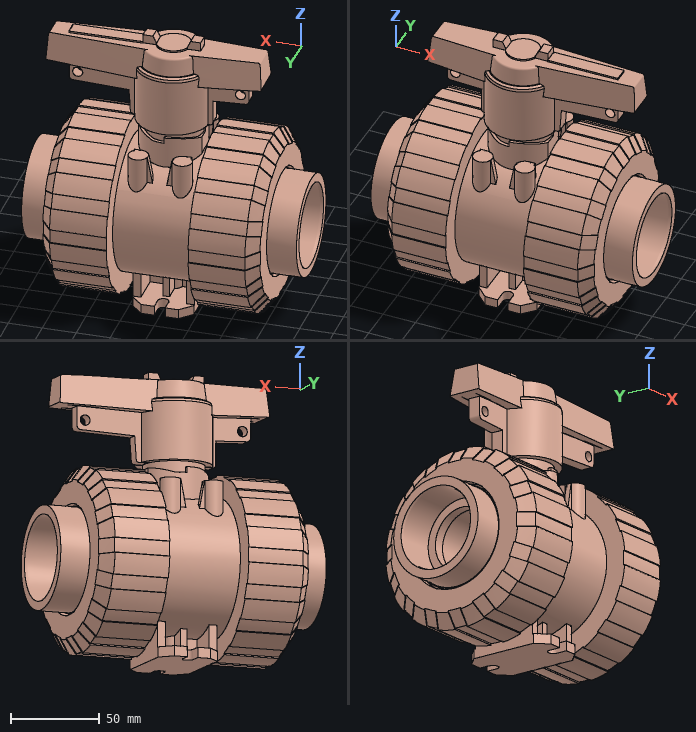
import cadquery as cq


bore_radius = 19.1
body_radius = 41.0
body_half_length = 50.0

neck_radius = 17.7
neck_top_z = 72.9
collar_radius = 19.9
collar_half_width = 18.6
collar_top_z = 54.6
stop_recess_z = 51.2
stop_ramp_end = 6.9
stop_ramp_start = 18.4
stop_count = 4

post_radius = 5.8
post_x = 13.0
post_y = 27.0
post_top_z = 45.4
gusset_foot_z = 29.0
long_gusset_width = 3.3
long_gusset_reach = post_radius + 3.1
short_gusset_width = 2.8
short_gusset_reach = post_radius + 1.5
short_gusset_offset = 2.5

foot_bottom_z = -56.5
foot_thickness = 5.9
foot_half_x = 18.1
foot_half_y = 28.4
foot_corner = 7.1
foot_slot_radius = 3.2
foot_slot_center_y = 21.5
rib_thickness = 4.7
rib_half_y = 20.4
center_rib_thickness = 4.0
center_rib_half_y = 15.4
foot_boss_radius = 6.1

nut_radius = 54.0
nut_inner_x = 24.1
nut_chamfer_x = 57.5
nut_outer_x = 63.9
nut_end_radius = 45.4
nut_lip_thickness = 6.0
nut_hole_radius = 31.8
groove_count = 16
groove_width = 8.6
groove_floor_radius = 53.1
groove_end_floor_radius = 44.5

connector_end_x = 81.0
spigot_radius = 30.1
spigot_root_radius = 30.6
spigot_root_x = 62.0
socket_radius = 24.3
socket_depth = 24.4
socket_chamfer_height = 0.5
socket_chamfer_length = 1.8

hub_radius = 22.1
hub_bottom_z = 58.1
hub_shoulder_z = 91.9
hub_bevel_radius = 21.6
hub_bevel_z = 93.4
hub_step_radius = 20.0
hub_step_z = 94.3
hub_cone_base_radius = 19.3
hub_cone_top_radius = 17.8
hub_top_round = 1.6
handle_top_z = 105.1
slot_half_width = 5.0
slot_top_z = 88.0
cap_radius = 10.1
cap_top_z = 106.1

lever_tip_z = 88.2
lever_root_z = 86.5
lever_root_x = 17.0
lever_top_round = 1.5
lever_bottom_round = 0.9
lever_bottom = dict(left_x=-54.7, left_half=10.7, right_x=73.0, right_half=9.2, root_x=17.0, root_half=12.9)
lever_top = dict(left_x=-53.2, left_half=8.1, right_x=71.8, right_half=7.0, root_x=13.0, root_half=10.8)

web_half_thickness = 3.9
web_left_x = -45.4
web_right_x = 60.5
web_top_z = slot_top_z + 4.0
web_tip_z = 74.6
web_left_leg_x = -24.1
web_left_leg_z = 73.6
web_right_leg_top_x = 25.4
web_right_leg_bottom_x = 24.3
web_right_leg_z = 73.2
web_leg_round = 1.5
web_tip_round = 2.2
web_hole_radius = 2.9
web_hole_inset = 5.0
web_hole_z = 80.2
tab_outer_x = 17.0
tab_crest_x = 11.1
tab_foot_x = 9.0
overall_height = 166.87
tab_top_z = foot_bottom_z + overall_height
pad_half_width = 4.3


def x_cylinder(radius, x_start, x_end):
    return cq.Workplane("YZ", origin=(x_start, 0, 0)).circle(radius).extrude(x_end - x_start)


def z_cylinder(radius, z_start, z_end, x=0, y=0):
    return cq.Workplane("XY", origin=(x, y, z_start)).circle(radius).extrude(z_end - z_start)


def block(x_start, x_end, y_start, y_end, z_start, z_end):
    size = (x_end - x_start, y_end - y_start, z_end - z_start)
    return cq.Workplane("XY").box(*size, centered=False).translate((x_start, y_start, z_start))


def centered_prism(points, width):
    """XZ outline extruded along Y, centred on the XZ plane."""
    return cq.Workplane("XZ").polyline(points).close().extrude(width / 2, both=True)


def revolve_about_x(points):
    """Outline of (x, radius) points turned about the bore axis."""
    return cq.Workplane("XY").polyline(points).close().revolve(360, (0, 0, 0), (1, 0, 0))


def revolve_about_z(points):
    """Outline of (radius, z) points turned about the stem axis."""
    return cq.Workplane("XZ").polyline(points).close().revolve(360, (0, 0, 0), (0, 1, 0))


def stem():
    collar = z_cylinder(collar_radius, 0, collar_top_z)
    collar_flats = block(
        -collar_half_width, collar_half_width, -collar_radius, collar_radius, 0, collar_top_z
    )
    collar = collar.intersect(collar_flats)
    recess = (
        cq.Workplane("XZ")
        .polyline([
            (0, collar_top_z),
            (-stop_ramp_start, collar_top_z),
            (-stop_ramp_end, stop_recess_z),
            (0, stop_recess_z),
        ])
        .close()
        .extrude(2 * collar_radius)
    )
    for i in range(stop_count):
        collar = collar.cut(recess.rotate((0, 0, 0), (0, 0, 1), i * 360 / stop_count))
    return collar.union(z_cylinder(neck_radius, 0, neck_top_z))


def gusset(width, reach):
    """Wedge standing beside a post on the Z axis, reaching along +X at its foot."""
    outline = [(0, gusset_foot_z), (reach, gusset_foot_z), (post_radius, post_top_z), (0, post_top_z)]
    return centered_prism(outline, width)


def post(side_x, side_y):
    """Post with one gusset towards the YZ plane and an offset one towards the XZ plane."""
    long_gusset = gusset(long_gusset_width, long_gusset_reach)
    if side_x > 0:
        long_gusset = long_gusset.mirror("YZ")
    short_gusset = gusset(short_gusset_width, short_gusset_reach).rotate(
        (0, 0, 0), (0, 0, 1), -90 * side_y
    )
    short_gusset = short_gusset.translate((side_x * short_gusset_offset, 0, 0))
    shape = z_cylinder(post_radius, 0, post_top_z).union(long_gusset).union(short_gusset)
    return shape.translate((side_x * post_x, side_y * post_y, 0))


def mounting_foot():
    foot_top_z = foot_bottom_z + foot_thickness
    plate = block(-foot_half_x, foot_half_x, -foot_half_y, foot_half_y, foot_bottom_z, foot_top_z)
    plate = plate.edges("|Z").chamfer(foot_corner)
    for side in (-1, 1):
        slot = z_cylinder(foot_slot_radius, foot_bottom_z, foot_top_z, y=side * foot_slot_center_y)
        slot_mouth = block(
            -foot_slot_radius, foot_slot_radius, foot_slot_center_y, foot_half_y, foot_bottom_z, foot_top_z
        )
        if side < 0:
            slot_mouth = slot_mouth.mirror("XZ")
        plate = plate.cut(slot).cut(slot_mouth)

    rib_top_z = -body_radius / 2
    foot = plate.union(z_cylinder(foot_boss_radius, foot_bottom_z, rib_top_z))
    half_center = center_rib_thickness / 2
    foot = foot.union(
        block(-half_center, half_center, -center_rib_half_y, center_rib_half_y, foot_top_z, rib_top_z)
    )
    foot = foot.union(block(-foot_half_x, foot_half_x, -half_center, half_center, foot_top_z, rib_top_z))
    rib_inner_x = foot_half_x - rib_thickness
    rib = block(rib_inner_x, foot_half_x, -rib_half_y, rib_half_y, foot_top_z, rib_top_z)
    return foot.union(rib).union(rib.mirror("YZ"))


def valve_body():
    shape = x_cylinder(body_radius, -body_half_length, body_half_length)
    shape = shape.union(stem()).union(mounting_foot())
    for side_x in (-1, 1):
        for side_y in (-1, 1):
            shape = shape.union(post(side_x, side_y))
    return shape.cut(x_cylinder(bore_radius, -body_half_length, body_half_length))


def nut():
    lip_x = nut_outer_x - nut_lip_thickness
    shape = revolve_about_x([
        (nut_inner_x, body_radius),
        (nut_inner_x, nut_radius),
        (nut_chamfer_x, nut_radius),
        (nut_outer_x, nut_end_radius),
        (nut_outer_x, nut_hole_radius),
        (lip_x, nut_hole_radius),
        (lip_x, body_radius),
    ])
    core = revolve_about_x([
        (nut_inner_x, 0),
        (nut_inner_x, groove_floor_radius),
        (nut_chamfer_x, groove_floor_radius),
        (nut_outer_x, groove_end_floor_radius),
        (nut_outer_x, 0),
    ])
    half_width = groove_width / 2
    groove = block(nut_inner_x, nut_outer_x, -half_width, half_width, 0, nut_radius).cut(core)
    for i in range(groove_count):
        shape = shape.cut(groove.rotate((0, 0, 0), (1, 0, 0), i * 360 / groove_count))
    return shape


def connector():
    flange_x = nut_outer_x - nut_lip_thickness
    socket_x = connector_end_x - socket_depth
    return revolve_about_x([
        (body_half_length, bore_radius),
        (body_half_length, body_radius),
        (flange_x, body_radius),
        (flange_x, spigot_root_radius),
        (spigot_root_x, spigot_root_radius),
        (spigot_root_x, spigot_radius),
        (connector_end_x, spigot_radius),
        (connector_end_x, socket_radius + socket_chamfer_height),
        (connector_end_x - socket_chamfer_length, socket_radius),
        (socket_x, socket_radius),
        (socket_x, bore_radius),
    ])


def hub():
    shape = revolve_about_z([
        (0, hub_bottom_z),
        (hub_radius, hub_bottom_z),
        (hub_radius, hub_shoulder_z),
        (hub_bevel_radius, hub_bevel_z),
        (hub_step_radius, hub_step_z),
        (hub_cone_base_radius, hub_step_z),
        (hub_cone_top_radius, handle_top_z),
        (0, handle_top_z),
    ])
    return shape.faces(">Z").edges().fillet(hub_top_round)


def lever_outline(left_x, left_half, right_x, right_half, root_x, root_half):
    """Plan outline of the lever, widest beside the hub and narrower at both tips."""
    upper = [(left_x, left_half), (-root_x, root_half), (root_x, root_half), (right_x, right_half)]
    lower = [(x, -y) for x, y in reversed(upper)]
    return upper + lower


def lever():
    sides = (
        cq.Workplane("XY", origin=(0, 0, lever_root_z))
        .polyline(lever_outline(**lever_bottom))
        .close()
        .workplane(offset=handle_top_z - lever_root_z)
        .polyline(lever_outline(**lever_top))
        .close()
        .loft(ruled=True)
    )
    widest = 2 * lever_bottom["root_half"]
    profile = centered_prism(
        [
            (lever_bottom["left_x"], lever_tip_z),
            (-lever_root_x, lever_root_z),
            (lever_root_x, lever_root_z),
            (lever_bottom["right_x"], lever_tip_z),
            (lever_top["right_x"], handle_top_z),
            (lever_top["left_x"], handle_top_z),
        ],
        widest,
    )
    profile = profile.edges("|Y").edges(">Z").fillet(lever_top_round)
    for end in ("<X", ">X"):
        profile = profile.edges("|Y").edges(end).fillet(lever_bottom_round)
    return sides.intersect(profile)


def web():
    """Upright plate under the lever with a leg on each side of the hub."""
    plate = centered_prism(
        [
            (web_left_x, web_top_z),
            (web_left_x, web_tip_z),
            (web_left_leg_x, web_left_leg_z),
            (web_left_leg_x, hub_bottom_z),
            (web_right_leg_bottom_x, hub_bottom_z),
            (web_right_leg_top_x, web_right_leg_z),
            (web_right_x, web_tip_z),
            (web_right_x, web_top_z),
        ],
        2 * web_half_thickness,
    )
    plate = plate.edges("|Y").edges("<Z").fillet(web_leg_round)
    for end in ("<X", ">X"):
        plate = plate.faces(end).edges("|Y").edges("<Z").fillet(web_tip_round)
    for x in (web_left_x + web_hole_inset, web_right_x - web_hole_inset):
        hole = cq.Workplane("XZ", origin=(x, 0, web_hole_z)).circle(web_hole_radius)
        plate = plate.cut(hole.extrude(web_half_thickness, both=True))
    return plate


def key_tab():
    """Wedge-shaped tab on the +X side of the cap."""
    outline = [
        (tab_foot_x, handle_top_z),
        (tab_foot_x, cap_top_z),
        (tab_crest_x, tab_top_z),
        (tab_outer_x, tab_top_z),
        (tab_outer_x, handle_top_z),
    ]
    return centered_prism(outline, 2 * web_half_thickness)


def handle():
    shape = hub().union(lever())
    slot = block(
        lever_bottom["left_x"], lever_bottom["right_x"],
        -slot_half_width, slot_half_width,
        hub_bottom_z, slot_top_z,
    )
    shape = shape.cut(slot).union(web())
    shape = shape.cut(z_cylinder(neck_radius, hub_bottom_z, neck_top_z))
    shape = shape.union(z_cylinder(cap_radius, handle_top_z, cap_top_z))
    shape = shape.union(key_tab()).union(key_tab().mirror("YZ"))
    pad = block(tab_outer_x, web_right_x, -pad_half_width, pad_half_width, handle_top_z, cap_top_z)
    return shape.union(pad)


valve = valve_body()
lever_handle = handle()
right_nut = nut()
left_nut = right_nut.mirror("YZ")
right_connector = connector()
left_connector = right_connector.mirror("YZ")

bodies = [valve, lever_handle, right_nut, left_nut, right_connector, left_connector]
result = cq.Compound.makeCompound([body.val() for body in bodies])